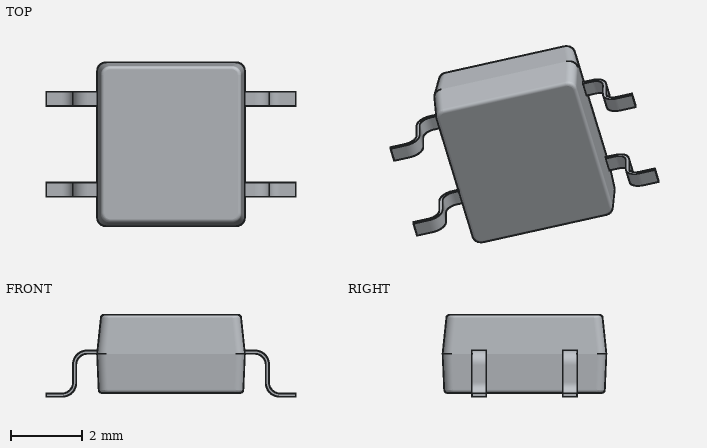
import cadquery as cq
import math

LEAD_SPAN = 7.0
LEAD_THICKNESS = 0.1
LEAD_WIDTH = 0.405
LEAD_PITCH = 2.54
FOOT_LENGTH = 0.45
BEND_RADIUS = 0.4
LEAD_EMBED = 0.21

BODY_X = 4.15
BODY_Y = 4.6
BODY_BOTTOM = 0.105
TOTAL_HEIGHT = 2.3
PARTING_Z = (BODY_BOTTOM + TOTAL_HEIGHT) / 2
UPPER_DRAFT = 6.0
LOWER_DRAFT = 2.5
CORNER_RADIUS = 0.25
RIM_RADIUS = 0.1


def body_half(height, draft):
    """Upward-tapering half body with rounded corners and rim."""
    return (
        cq.Workplane("XY")
        .rect(BODY_X, BODY_Y)
        .extrude(height, taper=draft)
        .edges("not(|X or |Y)")
        .fillet(CORNER_RADIUS)
        .faces(">Z")
        .edges()
        .fillet(RIM_RADIUS)
    )


def gull_wing_lead():
    """Left-hand lead centred on Y = 0, standing on Z = 0."""
    inner_radius = BEND_RADIUS - LEAD_THICKNESS
    outer_arc = BEND_RADIUS * math.sqrt(0.5)
    inner_arc = inner_radius * math.sqrt(0.5)

    foot_end = -LEAD_SPAN / 2
    foot_bend_x = foot_end + FOOT_LENGTH
    leg_inner_x = foot_bend_x + BEND_RADIUS
    leg_outer_x = leg_inner_x - LEAD_THICKNESS
    shoulder_bend_x = leg_outer_x + BEND_RADIUS
    root_x = -BODY_X / 2 + LEAD_EMBED

    shoulder_bottom = PARTING_Z
    shoulder_top = shoulder_bottom + LEAD_THICKNESS
    shoulder_bend_z = shoulder_top - BEND_RADIUS

    return (
        cq.Workplane("XZ")
        .moveTo(foot_end, 0)
        .lineTo(foot_bend_x, 0)
        .threePointArc(
            (foot_bend_x + outer_arc, BEND_RADIUS - outer_arc),
            (leg_inner_x, BEND_RADIUS),
        )
        .lineTo(leg_inner_x, shoulder_bend_z)
        .threePointArc(
            (shoulder_bend_x - inner_arc, shoulder_bend_z + inner_arc),
            (shoulder_bend_x, shoulder_bottom),
        )
        .lineTo(root_x, shoulder_bottom)
        .lineTo(root_x, shoulder_top)
        .lineTo(shoulder_bend_x, shoulder_top)
        .threePointArc(
            (shoulder_bend_x - outer_arc, shoulder_bend_z + outer_arc),
            (leg_outer_x, shoulder_bend_z),
        )
        .lineTo(leg_outer_x, BEND_RADIUS)
        .threePointArc(
            (foot_bend_x + inner_arc, BEND_RADIUS - inner_arc),
            (foot_bend_x, LEAD_THICKNESS),
        )
        .lineTo(foot_end, LEAD_THICKNESS)
        .close()
        .extrude(LEAD_WIDTH / 2, both=True)
    )


upper_half = body_half(TOTAL_HEIGHT - PARTING_Z, UPPER_DRAFT)
lower_half = body_half(PARTING_Z - BODY_BOTTOM, LOWER_DRAFT).mirror("XY")
result = upper_half.union(lower_half).translate((0, 0, PARTING_Z))

left_lead = gull_wing_lead()
right_lead = left_lead.mirror("YZ")
for lead_y in (-LEAD_PITCH / 2, LEAD_PITCH / 2):
    for lead in (left_lead, right_lead):
        result = result.union(lead.translate((0, lead_y, 0)))